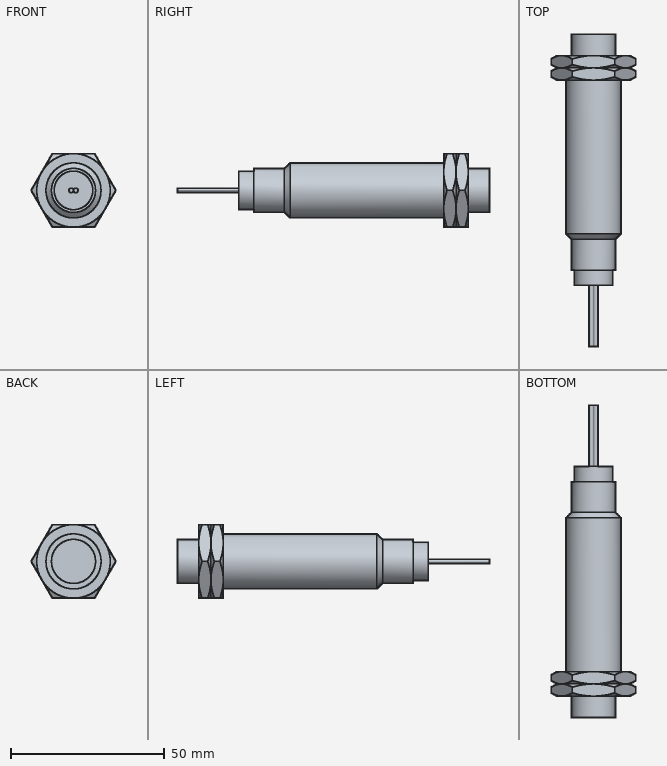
import cadquery as cq
import math

total_length = 102.0
sensing_face_y = total_length / 2

barrel_diameter = 18.0
neck_diameter = 14.4
tail_diameter = 12.6
shoulder_chamfer = (barrel_diameter - neck_diameter) / 2
nose_length = 7.0
neck_start = 67.0
tail_start = 77.0
tail_end = 82.0

wire_diameter = 1.5
wire_length = total_length - tail_end

nut_count = 2
nut_across_flats = 24.0
nut_across_corners = nut_across_flats / math.cos(math.radians(30))
nut_thickness = 4.0
nut_chamfer_angle = 30.0


def axis_plane(distance, x=0.0):
    """Plane square to the sensor axis, at a distance behind the sensing face, with its normal toward -Y."""
    return cq.Workplane("XZ", origin=(x, sensing_face_y - distance, 0))


def make_housing_shell():
    """Stepped round housing: nose, barrel, chamfered shoulder, neck and tail."""
    barrel_radius = barrel_diameter / 2
    neck_radius = neck_diameter / 2
    tail_radius = tail_diameter / 2
    half_profile = [
        (0, 0),
        (neck_radius, 0),
        (neck_radius, nose_length),
        (barrel_radius, nose_length),
        (barrel_radius, neck_start - shoulder_chamfer),
        (neck_radius, neck_start),
        (neck_radius, tail_start),
        (tail_radius, tail_start),
        (tail_radius, tail_end),
        (0, tail_end),
    ]
    points = [(radius, sensing_face_y - distance) for radius, distance in half_profile]
    return cq.Workplane("XY").polyline(points).close().revolve(360, (0, 0), (0, 1))


def make_sensor():
    """Housing with its two wires fixed in the tail face."""
    sensor = make_housing_shell()
    for side in (-1, 1):
        wire = axis_plane(tail_end, side * wire_diameter / 2).circle(wire_diameter / 2).extrude(wire_length)
        sensor = sensor.union(wire)
    return sensor


def make_nut(start):
    """Hexagon nut, corners on the X axis, with conical chamfers on both faces and a bore for the barrel."""
    hexagon = axis_plane(start).polygon(6, nut_across_corners).extrude(nut_thickness)

    corner_radius = nut_across_corners / 2
    face_radius = nut_across_flats / 2
    chamfer_height = (corner_radius - face_radius) * math.tan(math.radians(nut_chamfer_angle))
    front_y = sensing_face_y - start
    back_y = front_y - nut_thickness
    double_cone = (
        cq.Workplane("XY")
        .polyline([
            (0, front_y),
            (face_radius, front_y),
            (corner_radius, front_y - chamfer_height),
            (corner_radius, back_y + chamfer_height),
            (face_radius, back_y),
            (0, back_y),
        ])
        .close()
        .revolve(360, (0, 0), (0, 1))
    )

    bore = axis_plane(start).circle(barrel_diameter / 2).extrude(nut_thickness)
    return hexagon.intersect(double_cone).cut(bore)


sensor = make_sensor()
nuts = [make_nut(nose_length + i * nut_thickness) for i in range(nut_count)]

result = cq.Compound.makeCompound([sensor.solids().val(), *[nut.solids().val() for nut in nuts]])